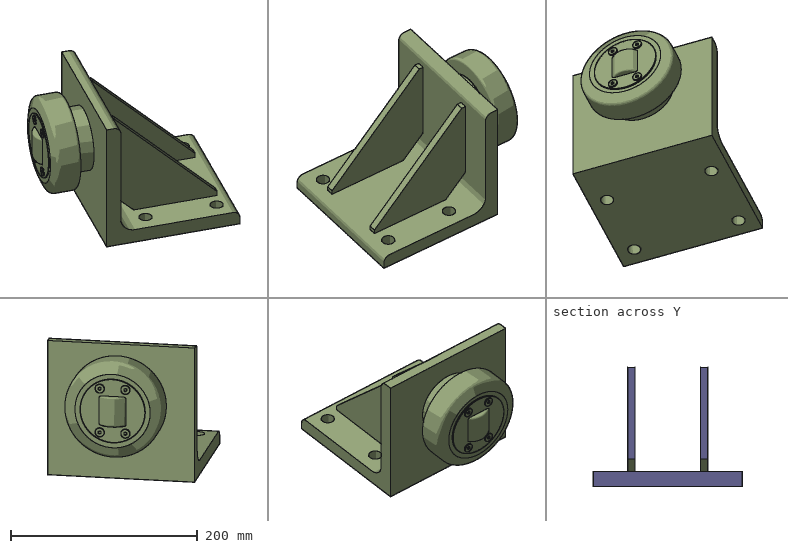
import cadquery as cq
import math

width = 160.0
leg_length = 150.0
leg_thickness = 16.0
root_radius = 16.0
toe_radius = 8.0

hole_diameter = 14.0
hole_spacing_x = 120.0
hole_rows_y = (50.0, 130.0)

gusset_thickness = 8.0
gusset_inner_gap = 70.0
gusset_leg = 120.0
gusset_nose = 5.0
gusset_root_cut = 26.0

axis_height = 90.0
hub_diameter = 71.0
hub_length = 19.2
roller_diameter = 107.0
roller_back = 19.7
roller_front = 50.8
roller_back_radius = 3.0
roller_front_radius = 4.5
face_diameter = 82.0
cone_angle = 21.5

bore_diameter = hub_diameter
cover_diameter = 70.5
gap_depth = 1.0
cover_front = 51.3
screw_spacing_x = 28.0
screw_spacing_z = 48.8
screw_head_diameter = 9.75
screw_head_height = 0.6
screw_recess_diameter = 10.0
socket_width = 3.0
socket_depth = 1.5

side_roller_front = 57.6
side_roller_radius = 20.0
side_roller_length = 33.0
side_roller_edge_radius = 2.0


def make_angle():
    """L-shaped section with rounded root and toes, extruded across the width."""
    profile = (
        cq.Workplane("YZ")
        .polyline([
            (0, 0),
            (leg_length, 0),
            (leg_length, leg_thickness),
            (leg_thickness, leg_thickness),
            (leg_thickness, leg_length),
            (0, leg_length),
        ])
        .close()
        .extrude(width / 2, both=True)
    )
    root_edge = cq.selectors.NearestToPointSelector((0, leg_thickness, leg_thickness))
    upper_toe = cq.selectors.NearestToPointSelector((0, leg_thickness, leg_length))
    rear_toe = cq.selectors.NearestToPointSelector((0, leg_length, leg_thickness))
    angle = profile.edges("|X").edges(root_edge).fillet(root_radius)
    angle = angle.edges("|X").edges(upper_toe).fillet(toe_radius)
    return angle.edges("|X").edges(rear_toe).fillet(toe_radius)


def drill_mounting_holes(body):
    """Two rows of two through holes."""
    points = [(side * hole_spacing_x / 2, y) for side in (-1, 1) for y in hole_rows_y]
    drills = cq.Workplane("XY").pushPoints(points).circle(hole_diameter / 2).extrude(leg_thickness)
    return body.cut(drills)


def make_gusset(side):
    """Diagonal plate with blunt tips and a relief over the root fillet."""
    inner = leg_thickness
    tip = inner + gusset_leg
    nose = inner + gusset_nose
    relief = inner + gusset_root_cut
    start_x = gusset_inner_gap / 2 if side > 0 else -gusset_inner_gap / 2 - gusset_thickness
    return (
        cq.Workplane("YZ", origin=(start_x, 0, 0))
        .polyline([
            (relief, inner),
            (tip, inner),
            (tip, nose),
            (nose, tip),
            (inner, tip),
            (inner, relief),
        ])
        .close()
        .extrude(gusset_thickness)
    )


def make_roller():
    """Disc with a rounded back edge and a shallow cone leading to the flat front face."""
    tilt = math.radians(cone_angle)
    outer = roller_diameter / 2
    face = face_diameter / 2
    corner_depth = roller_front - (outer - face) * math.tan(tilt)
    roller = (
        cq.Workplane("XY")
        .polyline([
            (0, -roller_back),
            (outer, -roller_back),
            (outer, -corner_depth),
            (face, -roller_front),
            (0, -roller_front),
        ])
        .close()
        .revolve(360, (0, 0, 0), (0, 1, 0))
    )
    roller = roller.edges(">Y").fillet(roller_back_radius)
    roller = roller.edges("%CIRCLE").edges(">>Y[1]").fillet(roller_front_radius)
    bore = (
        cq.Workplane("XZ", origin=(0, -roller_front, 0))
        .circle(bore_diameter / 2)
        .extrude(-gap_depth)
    )
    return roller.cut(bore)


def make_hub_and_cover():
    """Hub behind the roller, and the slightly narrower core ending in the cover face."""
    hub = cq.Workplane("XZ").circle(hub_diameter / 2).extrude(hub_length)
    core = cq.Workplane("XZ").circle(cover_diameter / 2).extrude(cover_front)
    return hub.union(core)


def add_screws(body):
    """Four socket-head screws, each standing in a close-fitting recess in the cover."""
    points = [
        (side * screw_spacing_x / 2, level * screw_spacing_z / 2)
        for side in (-1, 1)
        for level in (-1, 1)
    ]
    head_front = cover_front + screw_head_height
    recesses = (
        cq.Workplane("XZ", origin=(0, -cover_front, 0))
        .pushPoints(points)
        .circle(screw_recess_diameter / 2)
        .circle(screw_head_diameter / 2)
        .extrude(-gap_depth)
    )
    heads = (
        cq.Workplane("XZ", origin=(0, -cover_front, 0))
        .pushPoints(points)
        .circle(screw_head_diameter / 2)
        .extrude(screw_head_height)
    )
    sockets = (
        cq.Workplane("XZ", origin=(0, -head_front, 0))
        .pushPoints(points)
        .polygon(6, socket_width, circumscribed=True)
        .extrude(-socket_depth)
    )
    return body.cut(recesses).union(heads).cut(sockets)


def make_side_roller():
    """Front half of an upright cylinder with rounded ends."""
    axis_depth = side_roller_front - side_roller_radius
    return (
        cq.Workplane("XY", origin=(0, -axis_depth, 0))
        .circle(side_roller_radius)
        .extrude(side_roller_length / 2, both=True)
        .edges()
        .fillet(side_roller_edge_radius)
        .intersect(
            cq.Workplane("XZ", origin=(0, -axis_depth, 0))
            .rect(2 * side_roller_radius, side_roller_length)
            .extrude(side_roller_radius)
        )
    )


bracket = drill_mounting_holes(make_angle())
for side in (-1, 1):
    bracket = bracket.union(make_gusset(side))

roller_unit = add_screws(make_roller().union(make_hub_and_cover()))
roller_unit = roller_unit.union(make_side_roller())
result = bracket.union(roller_unit.translate((0, 0, axis_height)))